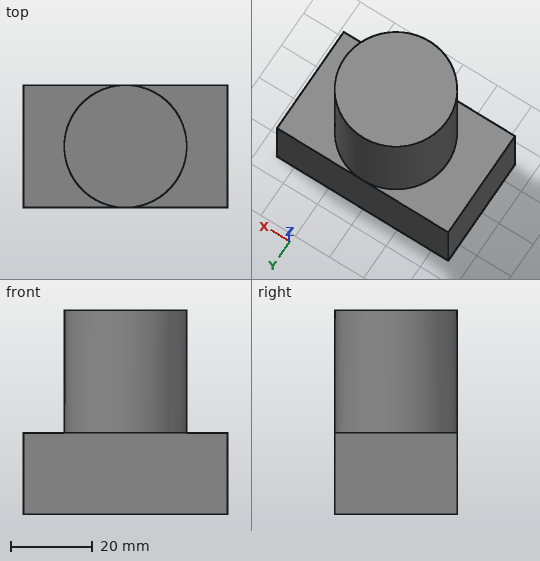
import cadquery as cq

base_length = 50
base_width = 30
base_height = 20
total_height = 50

post_diameter = base_width
post_height = total_height - base_height

base = cq.Workplane("XY").box(base_length, base_width, base_height, centered=(True, True, False))

post = (
    cq.Workplane("XY")
    .circle(post_diameter / 2)
    .extrude(post_height)
    .translate((0, 0, base_height))
)

result = base.union(post)